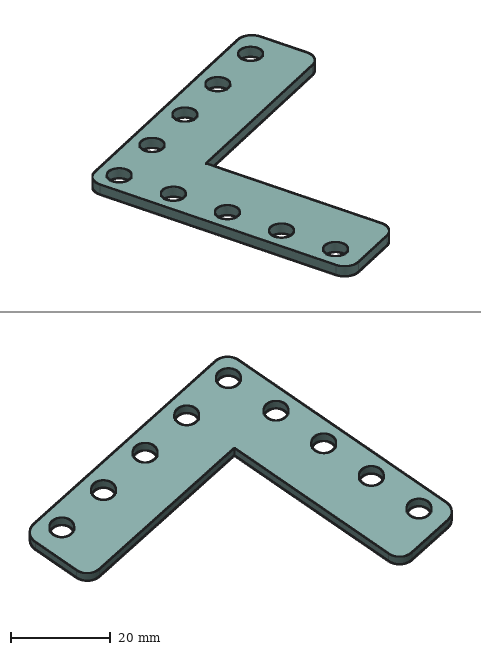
import cadquery as cq

leg_length = 61.8
leg_width = 17.5
thickness = 2.5
corner_radius = 3.3

hole_diameter = 5.0
hole_pitch = 12.65
hole_edge_offset = 4.8
holes_per_leg = 5


def angle_plate():
    """L-shaped plate with rounded outer corners and a sharp inner corner."""
    plate = (
        cq.Workplane("XY")
        .polyline([
            (0, 0),
            (leg_length, 0),
            (leg_length, leg_width),
            (leg_width, leg_width),
            (leg_width, leg_length),
            (0, leg_length),
        ])
        .close()
        .extrude(thickness)
    )
    outer_corners = "|Z and (<X or >X or <Y or >Y)"
    return plate.edges(outer_corners).fillet(corner_radius)


def hole_centers():
    """One row of holes along each leg, sharing the hole at the corner."""
    row = [hole_edge_offset + i * hole_pitch for i in range(holes_per_leg)]
    along_x = [(position, hole_edge_offset) for position in row]
    along_y = [(hole_edge_offset, position) for position in row[1:]]
    return along_x + along_y


holes = (
    cq.Workplane("XY")
    .pushPoints(hole_centers())
    .circle(hole_diameter / 2)
    .extrude(thickness)
)

result = angle_plate().cut(holes)